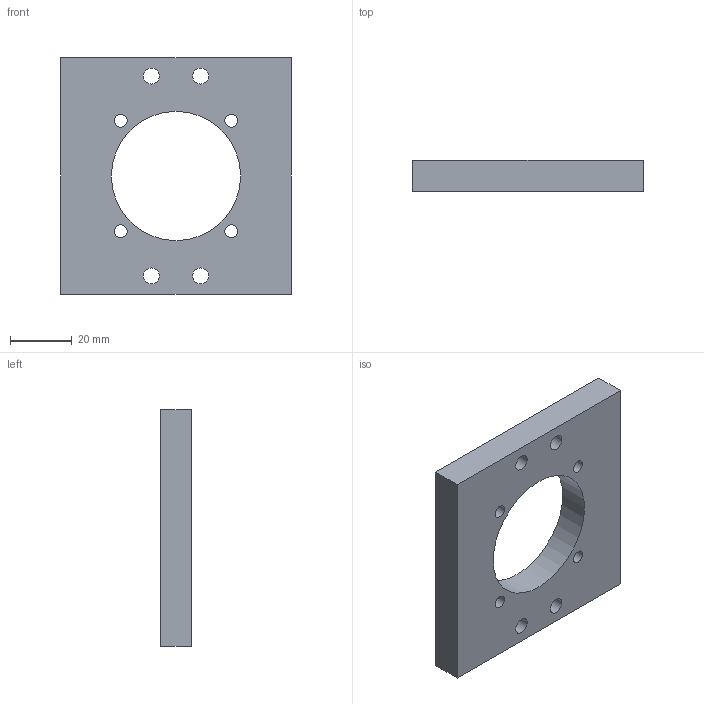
import cadquery as cq

plate_width = 75.0
plate_thickness = 10.0
plate_height = 77.0

bore_diameter = 42.0

flange_hole_pitch = 36.0
flange_hole_diameter = 4.2

edge_hole_pitch_x = 16.0
edge_hole_pitch_z = 65.0
edge_hole_diameter = 5.2


def through_holes(pitch_x, pitch_z, diameter):
    """Four cylinders along Y, at the corners of a rectangle centred on the plate."""
    return (
        cq.Workplane("XZ")
        .rect(pitch_x, pitch_z, forConstruction=True)
        .vertices()
        .circle(diameter / 2)
        .extrude(plate_thickness / 2, both=True)
    )


plate = cq.Workplane("XY").box(plate_width, plate_thickness, plate_height)
bore = cq.Workplane("XZ").circle(bore_diameter / 2).extrude(plate_thickness / 2, both=True)
flange_holes = through_holes(flange_hole_pitch, flange_hole_pitch, flange_hole_diameter)
edge_holes = through_holes(edge_hole_pitch_x, edge_hole_pitch_z, edge_hole_diameter)

result = plate.cut(bore).cut(flange_holes).cut(edge_holes)